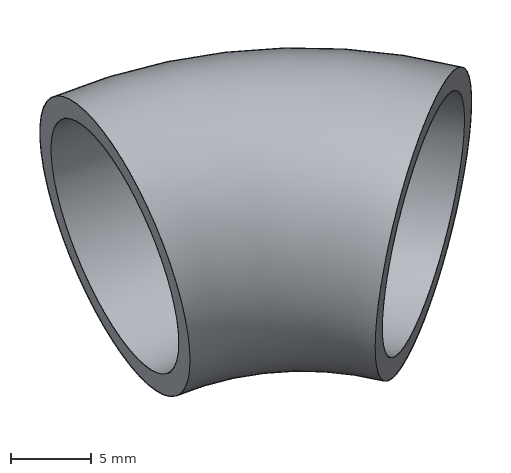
import cadquery as cq
import math

bend_angle = 45.0
overall_length = 24.75
outer_diameter = 20.0
inner_diameter = 17.0

outer_radius = outer_diameter / 2
inner_radius = inner_diameter / 2

bend_radius = overall_length / math.sin(math.radians(bend_angle)) - outer_radius

axis_start = (bend_radius, 0)
axis_end = (bend_radius, -1)

result = (
    cq.Workplane("XZ")
    .circle(outer_radius)
    .circle(inner_radius)
    .revolve(bend_angle, axis_start, axis_end)
)